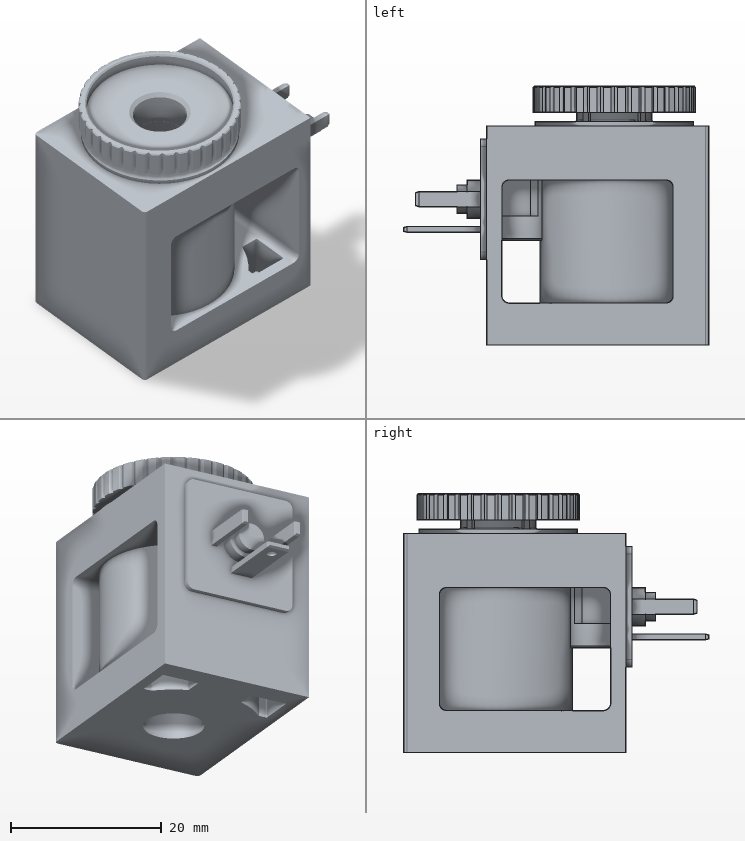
import cadquery as cq
import math


HOUSING_WIDTH = 22.0
HOUSING_HEIGHT = 29.08
HOUSING_FRONT_Y = -12.55
HOUSING_BACK_Y = 16.93
HOUSING_FRONT_RADIUS = 0.5

WINDOW_FRONT_Y = -7.8
WINDOW_BACK_Y = 14.9
WINDOW_BOTTOM_Z = 5.6
WINDOW_TOP_Z = 21.9
WINDOW_RADIUS = 1.0
COIL_DIAMETER = 19.75
COIL_BORE_DIAMETER = 8.15

LEAD_BLOCK_WIDTH = 4.85
LEAD_BLOCK_BOTTOM_Z = 13.9
LEAD_BLOCK_CHAMFER = 0.25
LEAD_RECESS_BOTTOM_Z = 17.15
LEAD_RECESS_DEPTH = 0.5
LEAD_RECESS_EDGE_Y = 10.1
LEAD_RECESS_FLOOR_Y = 11.15

FLOOR_OPENING_INNER_X = 4.0
FLOOR_OPENING_OUTER_X = 9.4
FLOOR_OPENING_FRONT_Y = 8.42
FLOOR_OPENING_BACK_Y = 13.6
FLOOR_OPENING_CLEARANCE_RADIUS = 11.75
FLOOR_OPENING_CORNER_RADIUS = 0.2

CONNECTOR_Z = 19.35
PLATE_SIZE = 16.0
PLATE_THICKNESS = 0.8
PLATE_RADIUS = 1.0
HUB_DIAMETER = 5.05
HUB_END_Y = 19.52
HUB_TIP_DIAMETER = 3.75
HUB_TIP_END_Y = 20.85

BLADE_THICKNESS = 0.8
BLADE_TIP_LENGTH = 0.5
BLADE_TIP_INSET = 0.15
SIDE_BLADE_X = 3.95
SIDE_BLADE_HEIGHT = 2.02
SIDE_BLADE_END_Y = 26.35
EARTH_BLADE_X = -0.2
EARTH_BLADE_Z = 15.35
EARTH_BLADE_WIDTH = 3.25
EARTH_BLADE_END_Y = 27.95
EARTH_HOLE_DIAMETER = 1.3
EARTH_HOLE_Y = 25.85

KNOB_TOP_Z = 34.35
HEAD_DIAMETER = 21.55
HEAD_BOTTOM_Z = 30.85
HEAD_CHAMFER = 0.15
GROOVE_COUNT = 36
GROOVE_WIDTH = 0.85
GROOVE_DEPTH = 0.32
DISH_DIAMETER = 19.5
DISH_FLOOR_Z = 32.7
DISH_CHAMFER = 0.2
KNOB_BORE_DIAMETER = 7.15
KNOB_BORE_CHAMFER = 0.5
FLANGE_DIAMETER = 21.0
FLANGE_THICKNESS = 0.55
NECK_DIAMETER = 10.0
NECK_FILLET = 0.2
RIB_COUNT = 4
RIB_THICKNESS = 1.0
RIB_OUTER_RADIUS = 5.4
SPIGOT_BOTTOM_Z = 27.6
COUNTERBORE_DIAMETER = 8.2
COUNTERBORE_TOP_Z = 28.7

FLANGE_TOP_Z = HOUSING_HEIGHT + FLANGE_THICKNESS
PLATE_END_Y = HOUSING_BACK_Y + PLATE_THICKNESS


def box_between(x_range, y_range, z_range):
    """Box given by its lower and upper limits along each axis."""
    lows, highs = zip(x_range, y_range, z_range)
    sizes = [high - low for low, high in zip(lows, highs)]
    return cq.Workplane("XY").box(*sizes, centered=False).translate(lows)


def cylinder_up(diameter, bottom_z, top_z):
    """Cylinder around the coil axis."""
    return cq.Workplane("XY", origin=(0, 0, bottom_z)).circle(diameter / 2).extrude(top_z - bottom_z)


def plane_facing_back(x, y, z):
    """Workplane whose normal is +Y, with its local y along +Z."""
    return cq.Workplane(cq.Plane(origin=(x, y, z), xDir=(-1, 0, 0), normal=(0, 1, 0)))


def make_shell():
    """Housing block with a window passing through it from side to side."""
    half_width = HOUSING_WIDTH / 2
    block = box_between(
        (-half_width, half_width), (HOUSING_FRONT_Y, HOUSING_BACK_Y), (0, HOUSING_HEIGHT)
    )
    block = block.edges("|Z and <Y").fillet(HOUSING_FRONT_RADIUS)
    window = box_between(
        (-half_width, half_width), (WINDOW_FRONT_Y, WINDOW_BACK_Y), (WINDOW_BOTTOM_Z, WINDOW_TOP_Z)
    )
    return block.cut(window.edges("|X").fillet(WINDOW_RADIUS))


def make_lead_block():
    """Block carrying the leads from the coil to the connector, recessed on both sides."""
    half_width = LEAD_BLOCK_WIDTH / 2
    block = box_between(
        (-half_width, half_width), (0, WINDOW_BACK_Y), (LEAD_BLOCK_BOTTOM_Z, WINDOW_TOP_Z)
    )
    block = block.edges("|Y and <Z").chamfer(LEAD_BLOCK_CHAMFER)
    recess_floor_x = half_width - LEAD_RECESS_DEPTH
    recess = (
        cq.Workplane("XY", origin=(0, 0, LEAD_RECESS_BOTTOM_Z))
        .moveTo(-half_width, LEAD_RECESS_EDGE_Y)
        .lineTo(-recess_floor_x, LEAD_RECESS_FLOOR_Y)
        .lineTo(-recess_floor_x, WINDOW_BACK_Y)
        .lineTo(-half_width, WINDOW_BACK_Y)
        .close()
        .extrude(WINDOW_TOP_Z - LEAD_RECESS_BOTTOM_Z)
    )
    return block.cut(recess).cut(recess.mirror("YZ"))


def make_floor_opening():
    """Opening through the window floor on the -X side."""
    opening = box_between(
        (-FLOOR_OPENING_OUTER_X, -FLOOR_OPENING_INNER_X),
        (FLOOR_OPENING_FRONT_Y, FLOOR_OPENING_BACK_Y),
        (0, WINDOW_BOTTOM_Z),
    )
    opening = opening.edges("|Z").fillet(FLOOR_OPENING_CORNER_RADIUS)
    return opening.cut(cylinder_up(2 * FLOOR_OPENING_CLEARANCE_RADIUS, 0, WINDOW_BOTTOM_Z))


def make_blade(x, z, width, height, end_y):
    """Contact blade standing on the connector plate, with a tapered tip."""
    shank_end_y = end_y - BLADE_TIP_LENGTH
    tip_taper = math.degrees(math.atan2(BLADE_TIP_INSET, BLADE_TIP_LENGTH))
    shank = plane_facing_back(x, PLATE_END_Y, z).rect(width, height).extrude(shank_end_y - PLATE_END_Y)
    tip = plane_facing_back(x, shank_end_y, z).rect(width, height).extrude(BLADE_TIP_LENGTH, taper=tip_taper)
    return shank.union(tip)


def make_earth_blade():
    """Flat blade with a cross hole."""
    blade = make_blade(
        EARTH_BLADE_X, EARTH_BLADE_Z, EARTH_BLADE_WIDTH, BLADE_THICKNESS, EARTH_BLADE_END_Y
    )
    hole = (
        cq.Workplane("XY", origin=(EARTH_BLADE_X, EARTH_HOLE_Y, EARTH_BLADE_Z))
        .circle(EARTH_HOLE_DIAMETER / 2)
        .extrude(BLADE_THICKNESS, both=True)
    )
    return blade.cut(hole)


def make_connector():
    """Connector plate with its stepped hub and three contact blades."""
    base = plane_facing_back(0, HOUSING_BACK_Y, CONNECTOR_Z)
    plate = base.rect(PLATE_SIZE, PLATE_SIZE).extrude(PLATE_THICKNESS).edges("|Y").fillet(PLATE_RADIUS)
    hub = base.circle(HUB_DIAMETER / 2).extrude(HUB_END_Y - HOUSING_BACK_Y)
    hub_tip = base.circle(HUB_TIP_DIAMETER / 2).extrude(HUB_TIP_END_Y - HOUSING_BACK_Y)
    connector = plate.union(hub).union(hub_tip).union(make_earth_blade())
    for x in (-SIDE_BLADE_X, SIDE_BLADE_X):
        connector = connector.union(
            make_blade(x, CONNECTOR_Z, BLADE_THICKNESS, SIDE_BLADE_HEIGHT, SIDE_BLADE_END_Y)
        )
    return connector


def make_housing():
    """Housing with its coil, connector, axial bore and the seat for the knob spigot."""
    opening = make_floor_opening()
    coil = cylinder_up(COIL_DIAMETER, WINDOW_BOTTOM_Z, WINDOW_TOP_Z)
    return (
        make_shell()
        .union(coil)
        .union(make_lead_block())
        .cut(opening)
        .cut(opening.mirror("YZ"))
        .union(make_connector())
        .cut(cylinder_up(COIL_BORE_DIAMETER, 0, HOUSING_HEIGHT))
        .cut(cylinder_up(NECK_DIAMETER, SPIGOT_BOTTOM_Z, HOUSING_HEIGHT))
    )


def make_turned_knob():
    """Solid of revolution: dished head, neck, flange and spigot around a stepped bore."""
    bore_radius = KNOB_BORE_DIAMETER / 2
    counterbore_radius = COUNTERBORE_DIAMETER / 2
    neck_radius = NECK_DIAMETER / 2
    flange_radius = FLANGE_DIAMETER / 2
    head_radius = HEAD_DIAMETER / 2
    dish_radius = DISH_DIAMETER / 2
    profile = (
        cq.Workplane("XZ")
        .moveTo(counterbore_radius, SPIGOT_BOTTOM_Z)
        .lineTo(neck_radius, SPIGOT_BOTTOM_Z)
        .lineTo(neck_radius, HOUSING_HEIGHT)
        .lineTo(flange_radius, HOUSING_HEIGHT)
        .lineTo(flange_radius, FLANGE_TOP_Z)
        .lineTo(neck_radius + NECK_FILLET, FLANGE_TOP_Z)
        .radiusArc((neck_radius, FLANGE_TOP_Z + NECK_FILLET), NECK_FILLET)
        .lineTo(neck_radius, HEAD_BOTTOM_Z)
        .lineTo(head_radius, HEAD_BOTTOM_Z)
        .lineTo(head_radius, KNOB_TOP_Z - HEAD_CHAMFER)
        .lineTo(head_radius - HEAD_CHAMFER, KNOB_TOP_Z)
        .lineTo(dish_radius + DISH_CHAMFER, KNOB_TOP_Z)
        .lineTo(dish_radius, KNOB_TOP_Z - DISH_CHAMFER)
        .lineTo(dish_radius, DISH_FLOOR_Z)
        .lineTo(bore_radius + KNOB_BORE_CHAMFER, DISH_FLOOR_Z)
        .lineTo(bore_radius, DISH_FLOOR_Z - KNOB_BORE_CHAMFER)
        .lineTo(bore_radius, COUNTERBORE_TOP_Z)
        .lineTo(counterbore_radius, COUNTERBORE_TOP_Z)
        .close()
    )
    return profile.revolve(360, (0, 0, 0), (0, 1, 0))


def turned_about_axis(shape, angle):
    """Copy of a shape turned about the coil axis."""
    return shape.rotate((0, 0, 0), (0, 0, 1), angle)


def make_knob():
    """Turned knob with ribs around its neck and V grooves around its rim."""
    knob = make_turned_knob()
    rib = box_between(
        (COUNTERBORE_DIAMETER / 2, RIB_OUTER_RADIUS),
        (-RIB_THICKNESS / 2, RIB_THICKNESS / 2),
        (FLANGE_TOP_Z, HEAD_BOTTOM_Z),
    )
    for i in range(RIB_COUNT):
        knob = knob.union(turned_about_axis(rib, (i + 0.5) * 360 / RIB_COUNT))

    rim_radius = HEAD_DIAMETER / 2
    groove = (
        cq.Workplane("XY", origin=(0, 0, HEAD_BOTTOM_Z))
        .moveTo(rim_radius - GROOVE_DEPTH, 0)
        .lineTo(rim_radius + GROOVE_DEPTH, GROOVE_WIDTH)
        .lineTo(rim_radius + GROOVE_DEPTH, -GROOVE_WIDTH)
        .close()
        .extrude(KNOB_TOP_Z - HEAD_BOTTOM_Z)
    )
    for i in range(GROOVE_COUNT):
        knob = knob.cut(turned_about_axis(groove, i * 360 / GROOVE_COUNT))
    return knob


housing = make_housing().solids()
knob = make_knob().solids()

result = cq.Compound.makeCompound([housing.val(), knob.val()])